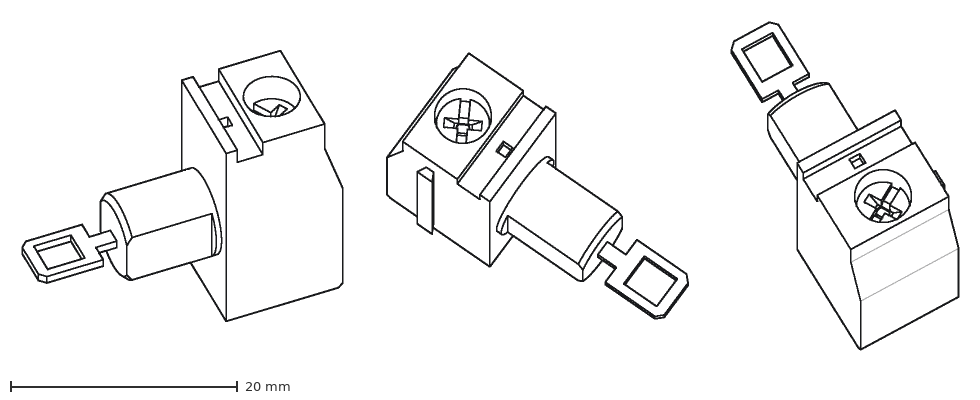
import cadquery as cq


body_width = 10.0
body_depth = 11.2
body_height = 20.9
shoulder_setback = 1.73
shoulder_height = 3.04
slope_end_drop = 8.63
base_chamfer = 0.42
lip_thickness = 1.1
groove_width = 2.45
groove_depth = 1.5
socket_width = 1.1
socket_length = 1.0
socket_depth = 1.11
socket_setback = 2.0

rail_height = 0.8
rail_root = 0.78
rail_crest = 1.62
rail_bottom = 1.17
rail_length = 16.68
screw_setback = 6.52

barrel_diameter = 8.0
barrel_length = 8.65
barrel_z = 9.13
flat_spacing = 6.0
collar_length = 0.5
barrel_chamfer = 0.5

tag_thickness = 0.8
tag_z = 9.05
neck_width = 1.45
neck_length = 2.0
tag_width = 4.8
tag_length = 6.0
tag_chamfer = 0.58
window_width = 3.12
window_length = 3.56
window_offset = 1.42

bore_diameter = 5.0
bore_depth = 2.62
head_diameter = 4.7
head_height = 1.4
drive_angle = 30.0
slot_width = 0.85
slot_depth = 0.84
cross_depth = 1.4
pit_diameter = 1.17
pit_depth = 1.67
long_wing_reach = 1.67
long_wing_floor_reach = 0.8
short_wing_reach = 0.8
short_wing_floor_reach = slot_width / 2

head_z = body_height - bore_depth


def make_housing():
    """Side profile with the sloped back and the top groove, extruded across X."""
    back_top = body_depth - shoulder_setback
    groove_back = lip_thickness + groove_width
    groove_floor = body_height - groove_depth
    profile = [
        (0, 0),
        (body_depth - base_chamfer, 0),
        (body_depth, base_chamfer),
        (body_depth, body_height - slope_end_drop),
        (back_top, body_height - shoulder_height),
        (back_top, body_height),
        (groove_back, body_height),
        (groove_back, groove_floor),
        (lip_thickness, groove_floor),
        (lip_thickness, body_height),
        (0, body_height),
    ]
    housing = cq.Workplane("YZ").polyline(profile).close().extrude(body_width / 2, both=True)
    socket = (
        cq.Workplane("XY", origin=(0, socket_setback, groove_floor))
        .rect(socket_width, socket_length)
        .extrude(-socket_depth)
    )
    return housing.cut(socket)


def make_rail():
    """Vertical dovetail that widens away from the housing."""
    profile = [
        (0, -rail_root / 2),
        (-rail_height, -rail_crest / 2),
        (-rail_height, rail_crest / 2),
        (0, rail_root / 2),
    ]
    return (
        cq.Workplane("XY", origin=(-body_width / 2, screw_setback, rail_bottom))
        .polyline(profile)
        .close()
        .extrude(rail_length)
    )


def make_barrel():
    """Chamfered cylinder, cut to two flats in front of a short round collar."""
    barrel = (
        cq.Workplane("XZ", origin=(0, 0, barrel_z))
        .circle(barrel_diameter / 2)
        .extrude(barrel_length)
        .faces("<Y")
        .chamfer(barrel_chamfer)
    )
    collar = cq.Workplane("XZ", origin=(0, 0, barrel_z)).circle(barrel_diameter / 2).extrude(collar_length)
    between_flats = (
        cq.Workplane("XZ", origin=(0, 0, barrel_z))
        .rect(flat_spacing, barrel_diameter)
        .extrude(barrel_length)
    )
    return barrel.intersect(between_flats).union(collar)


def make_tag():
    """Flat tag with a narrow neck, a window and clipped outer corners."""
    neck_end = -barrel_length - neck_length
    tag_base = cq.Workplane("XY", origin=(0, 0, tag_z - tag_thickness / 2))
    neck = (
        tag_base.center(0, -barrel_length - neck_length / 2)
        .rect(neck_width, neck_length)
        .extrude(tag_thickness)
    )
    plate = (
        tag_base.center(0, neck_end - tag_length / 2)
        .rect(tag_width, tag_length)
        .extrude(tag_thickness)
        .edges("|Z and <Y")
        .chamfer(tag_chamfer)
    )
    window = (
        tag_base.center(0, neck_end - window_offset - window_length / 2)
        .rect(window_width, window_length)
        .extrude(tag_thickness)
    )
    return neck.union(plate).cut(window)


def screw_cylinder(diameter, top_z, depth):
    """Cylinder on the screw axis, reaching down from top_z."""
    return cq.Workplane("XY", origin=(0, screw_setback, top_z)).circle(diameter / 2).extrude(-depth)


def drive_wing(top_reach, floor_reach, top_depth, angle):
    """Wing pair of the cross recess, with ends that slope in towards its floor."""
    profile = [
        (-top_reach, -top_depth),
        (top_reach, -top_depth),
        (floor_reach, -cross_depth),
        (-floor_reach, -cross_depth),
    ]
    wing = cq.Workplane("XZ").polyline(profile).close().extrude(slot_width / 2, both=True)
    return wing.rotate((0, 0, 0), (0, 0, 1), angle).translate((0, screw_setback, head_z))


def make_screw_space():
    """Open bore, clearance around the screw head, and the head's drive recess."""
    head = screw_cylinder(head_diameter, head_z, head_height)
    clearance = screw_cylinder(bore_diameter, head_z, head_height).cut(head)
    slot = (
        cq.Workplane("XY")
        .rect(bore_diameter, slot_width)
        .extrude(-slot_depth)
        .rotate((0, 0, 0), (0, 0, 1), drive_angle)
        .translate((0, screw_setback, head_z))
        .intersect(head)
    )
    pit_sides = (
        cq.Workplane("XY")
        .rect(slot_width, pit_diameter)
        .extrude(-pit_depth)
        .rotate((0, 0, 0), (0, 0, 1), drive_angle)
        .translate((0, screw_setback, head_z))
    )
    pit = screw_cylinder(pit_diameter, head_z - cross_depth, pit_depth - cross_depth).intersect(pit_sides)
    return (
        screw_cylinder(bore_diameter, body_height, bore_depth)
        .union(clearance)
        .union(slot)
        .union(drive_wing(long_wing_reach, long_wing_floor_reach, 0, drive_angle + 90))
        .union(drive_wing(short_wing_reach, short_wing_floor_reach, slot_depth, drive_angle))
        .union(pit)
    )


result = (
    make_housing()
    .union(make_rail())
    .union(make_barrel())
    .union(make_tag())
    .cut(make_screw_space())
)